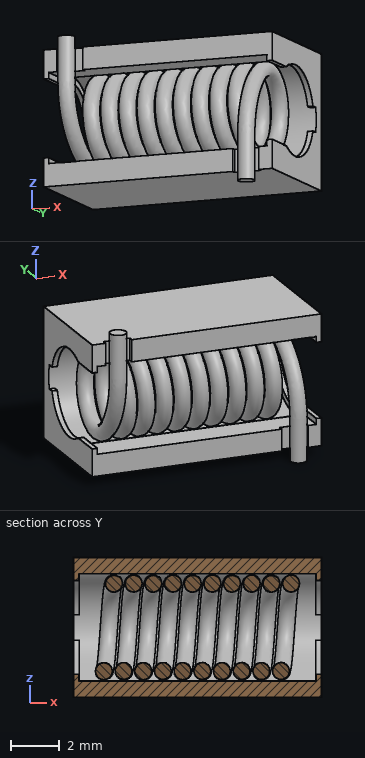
import cadquery as cq
import math


LENGTH = 10.16
HEIGHT = 5.72
BACK_Y = 2.77
FRONT_Y = -2.46
CAVITY_RADIUS = 2.19
CAVITY_OPENING = 3.8
LIP_THICKNESS = 0.23
LIP_RADIUS = 1.91
LIP_OPENING = 3.29
KEY_SLOT_HEIGHT = 1.04

WIRE_DIAMETER = 0.71
COIL_RADIUS = 1.8
FULL_TURNS = 9
RELEASE_ANGLE = 30.0
LEAD_X = 3.99
LEAD_Y = -2.6
LEAD_TIP_Z = 3.3
ARC_SHIFT = 0.1
ARC_STEPS = 8

wire_radius = WIRE_DIAMETER / 2
release = math.radians(RELEASE_ANGLE)
coil_end_x = LEAD_X - ARC_SHIFT
turns = FULL_TURNS + (180 + 2 * RELEASE_ANGLE) / 360
pitch = 2 * coil_end_x / turns
coil_slope = pitch / (2 * math.pi * COIL_RADIUS)

arc_radius = (-LEAD_Y - COIL_RADIUS * math.sin(release)) / (1 - math.sin(release))
arc_center_y = LEAD_Y + arc_radius
arc_center_z = (arc_radius - COIL_RADIUS) * math.cos(release)
arc_sweep = math.pi / 2 - release

RELIEF_WIDTH = 1.16
RELIEF_CENTER_X = 3.9
relief_floor_y = LEAD_Y + wire_radius


def box_between(x_range, y_range, z_range):
    size = [high - low for low, high in (x_range, y_range, z_range)]
    corner = cq.Vector(x_range[0], y_range[0], z_range[0])
    return cq.Workplane(cq.Solid.makeBox(*size, pnt=corner))


def round_channel(length, radius, opening):
    """Bore along X with a straight-sided opening out to the front face."""
    bore = cq.Workplane("YZ").circle(radius).extrude(length / 2, both=True)
    slot = box_between((-length / 2, length / 2), (FRONT_Y, 0), (-opening / 2, opening / 2))
    return bore.union(slot)


def key_slots():
    """Slot in the back of both lips, reaching the cavity wall."""
    slot = cq.Workplane("YZ").circle(CAVITY_RADIUS).extrude(LENGTH / 2, both=True)
    half_height = KEY_SLOT_HEIGHT / 2
    limits = box_between((-LENGTH / 2, LENGTH / 2), (0, CAVITY_RADIUS), (-half_height, half_height))
    return slot.intersect(limits)


def lead_relief(side):
    """Shallow relief behind a lead: side -1 is the upper left, +1 the lower right."""
    center_x = side * RELIEF_CENTER_X
    z_limits = sorted((0, -side * HEIGHT / 2))
    return box_between(
        (center_x - RELIEF_WIDTH / 2, center_x + RELIEF_WIDTH / 2),
        (FRONT_Y, relief_floor_y),
        z_limits,
    )


def make_housing():
    block = box_between(
        (-LENGTH / 2, LENGTH / 2), (FRONT_Y, BACK_Y), (-HEIGHT / 2, HEIGHT / 2)
    )
    block = block.cut(round_channel(LENGTH - 2 * LIP_THICKNESS, CAVITY_RADIUS, CAVITY_OPENING))
    block = block.cut(round_channel(LENGTH, LIP_RADIUS, LIP_OPENING))
    block = block.cut(key_slots())
    for side in (-1, 1):
        block = block.cut(lead_relief(side))
    return block


def sweep_wire(path, start, direction):
    profile = cq.Workplane(cq.Plane(origin=start, normal=direction)).circle(wire_radius)
    return profile.sweep(cq.Workplane(path), isFrenet=True)


def make_helix():
    """Helix from the lower release point, around the back, to the upper one."""
    path = cq.Wire.makeHelix(pitch, pitch * turns, COIL_RADIUS)
    coil = sweep_wire(path, (COIL_RADIUS, 0, 0), (0, 1, coil_slope))
    coil = coil.rotate((0, 0, 0), (1, 1, 1), 120)
    coil = coil.rotate((0, 0, 0), (1, 0, 0), -90 - RELEASE_ANGLE)
    return coil.translate((-coil_end_x, 0, 0))


def arc_point(fraction):
    """Point on the left lead arc; its slope along X fades out towards the lead."""
    angle = release + fraction * arc_sweep
    return cq.Vector(
        -coil_end_x - ARC_SHIFT * (1 - (1 - fraction) ** 2),
        arc_center_y - arc_radius * math.sin(angle),
        arc_center_z - arc_radius * math.cos(angle),
    )


def make_left_lead():
    points = [arc_point(step / ARC_STEPS) for step in range(ARC_STEPS + 1)]
    leaving = cq.Vector(-coil_slope, -math.cos(release), math.sin(release))
    upward = cq.Vector(0, 0, 1)
    path = cq.Edge.makeSpline(points, tangents=[leaving, upward])
    arc = sweep_wire(cq.Wire.assembleEdges([path]), points[0], leaving)
    straight = cq.Solid.makeCylinder(wire_radius, LEAD_TIP_Z - arc_center_z, points[-1], upward)
    return arc.union(cq.Workplane(straight))


def make_coil():
    left_lead = make_left_lead()
    right_lead = left_lead.rotate((0, 0, 0), (0, 1, 0), 180)
    return make_helix().union(left_lead).union(right_lead)


housing = make_housing()
coil = make_coil()
result = cq.Compound.makeCompound([housing.val(), coil.solids().val()])